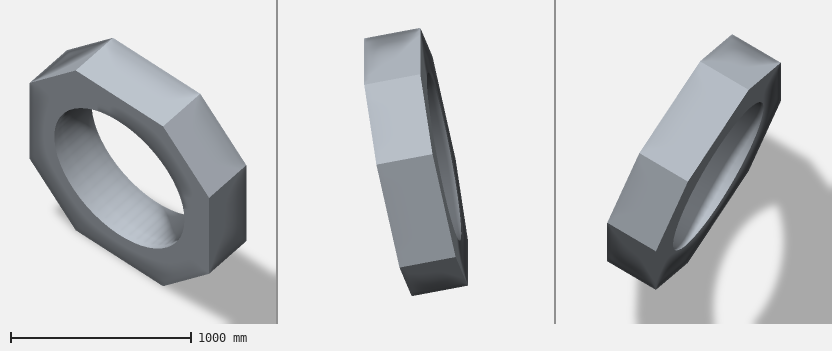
import cadquery as cq

width = 1309.0
thickness = 318.0
height = 1341.0

flat_length = 637.0
bore_diameter = 950.0

half_width = width / 2
half_height = height / 2
half_flat = flat_length / 2
outline = [
    (half_flat, half_height),
    (half_width, half_flat),
    (half_width, -half_flat),
    (half_flat, -half_height),
    (-half_flat, -half_height),
    (-half_width, -half_flat),
    (-half_width, half_flat),
    (-half_flat, half_height),
]

body = cq.Workplane("XZ").polyline(outline).close().extrude(thickness / 2, both=True)
bore = cq.Workplane("XZ").circle(bore_diameter / 2).extrude(thickness / 2, both=True)

result = body.cut(bore)